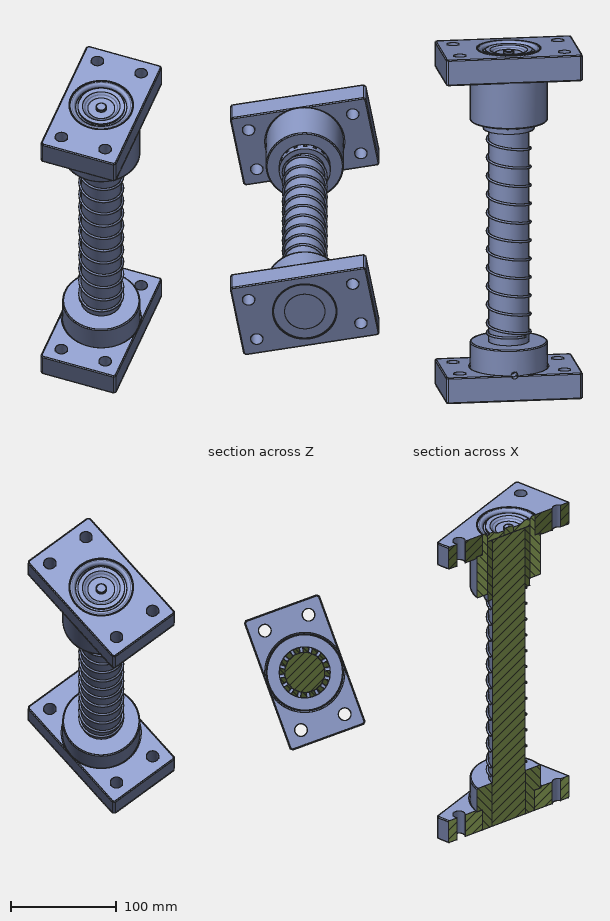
import cadquery as cq
import math

total_height = 335.0
plate_angle = 20.0
plate_long_axis = (-math.sin(math.radians(plate_angle)), math.cos(math.radians(plate_angle)), 0)

plate_width = 75.5
plate_length = 130.0
plate_thickness = 25.0
corner_chamfer = 2.0
edge_chamfer = 1.0
bolt_hole_diameter = 11.7
bolt_spacing_x = 44.0
bolt_spacing_y = 100.0

sleeve_radius = 36.5
spigot_radius = 29.5
spigot_bore_chamfer = 1.0
seat_depth = 1.7
seat_chamfer = 1.5
sleeve_end_chamfer = 1.0
bushing_bottom = 265.0
collar_top = 49.5
bushing_mouth_fillet = 3.7

post_radius = 19.0
cage_radius = 24.0
cage_bottom = 257.0
ball_count = 16
ball_hole_diameter = 3.0
ball_hole_drop = 2.0

cap_bottom = 325.0
cap_recess = 1.5
cap_top = total_height - cap_recess
cap_rim_radius = 22.0
cap_step = 1.7
cap_dish_radius = 17.8
cap_dish_depth = 0.5
cap_cone_radius = 15.5
cap_cone_depth = 2.0
cap_floor_radius = 12.7
cap_floor_depth = 3.5

peg_radius = 5.0
peg_chamfer = 0.7
peg_height = 2.5
peg_top = cap_top - cap_floor_depth + peg_height

wire_diameter = 2.0
wire_clearance = 0.17
spring_turns = 11
spring_active_bottom = 58.5
spring_active_top = cage_bottom - wire_diameter / 2 - wire_clearance
dead_coil_angle = 332.0
dead_coil_pitch = 1.7
coil_radius = post_radius + wire_diameter / 2 + wire_clearance

radial_hole_diameter = 6.5


def cylinder(radius, bottom, top):
    return cq.Workplane("XY").workplane(offset=bottom).circle(radius).extrude(top - bottom)


def revolve_profile(points):
    """Solid of revolution about Z from (radius, height) points."""
    return cq.Workplane("XZ").polyline(points).close().revolve(360, (0, 0), (0, 1))


def make_plate():
    """Plate with its outer face on Z = 0 and the sleeve seat in its upper face."""
    plate = (
        cq.Workplane("XY")
        .rect(plate_width, plate_length)
        .extrude(plate_thickness)
        .edges("|Z")
        .chamfer(corner_chamfer)
        .faces("<Z or >Z")
        .chamfer(edge_chamfer)
    )
    bolt_holes = (
        cq.Workplane("XY")
        .rect(bolt_spacing_x, bolt_spacing_y, forConstruction=True)
        .vertices()
        .circle(bolt_hole_diameter / 2)
        .extrude(plate_thickness)
    )
    seat_floor = plate_thickness - seat_depth
    sleeve_opening = revolve_profile([
        (0, 0),
        (spigot_radius + spigot_bore_chamfer, 0),
        (spigot_radius, spigot_bore_chamfer),
        (spigot_radius, seat_floor),
        (sleeve_radius, seat_floor),
        (sleeve_radius + seat_chamfer, plate_thickness),
        (0, plate_thickness),
    ])
    return plate.cut(bolt_holes).cut(sleeve_opening).rotate((0, 0, 0), (0, 0, 1), plate_angle)


def make_sleeve(length, bore_radius):
    """Sleeve whose spigot starts on Z = 0 and whose wide part stands on the plate seat."""
    shoulder = plate_thickness - seat_depth
    barrel = cylinder(sleeve_radius, shoulder, length).faces(">Z").chamfer(sleeve_end_chamfer)
    spigot = cylinder(spigot_radius, 0, shoulder)
    return barrel.union(spigot).cut(cylinder(bore_radius, 0, length))


def turn_over(body):
    """Place a body built up from Z = 0 so that it hangs down from the top of the set."""
    turned = body.rotate((0, 0, 0), plate_long_axis, 180)
    return turned.translate((0, 0, total_height))


def make_radial_hole():
    """Blind hole from the long side of the base plate in to the post."""
    hole_start = cq.Plane(origin=(-plate_width, 0, plate_thickness), xDir=(0, 0, 1), normal=(1, 0, 0))
    return (
        cq.Workplane(hole_start)
        .circle(radial_hole_diameter / 2)
        .extrude(plate_width)
        .cut(cylinder(post_radius, 0, collar_top))
        .rotate((0, 0, 0), (0, 0, 1), plate_angle)
    )


def make_bushing():
    bushing = make_sleeve(total_height - bushing_bottom, cage_radius)
    mouth = cq.selectors.RadiusNthSelector(0)
    return turn_over(bushing.faces("<Z").edges(mouth).fillet(bushing_mouth_fillet))


def make_cage():
    cage = cylinder(cage_radius, cage_bottom, cap_bottom).cut(cylinder(post_radius, cage_bottom, cap_bottom))
    ball_hole = (
        cq.Workplane("YZ")
        .center(0, bushing_bottom - ball_hole_drop)
        .circle(ball_hole_diameter / 2)
        .extrude(sleeve_radius)
        .cut(cylinder(post_radius, cage_bottom, cap_bottom))
    )
    step = 360 / ball_count
    for index in range(ball_count):
        cage = cage.cut(ball_hole.rotate((0, 0, 0), (0, 0, 1), plate_angle + (index + 0.5) * step))
    return cage


def make_cap():
    """Dished disc with two cones running down to a flat floor round the peg."""
    return revolve_profile([
        (peg_radius, cap_bottom),
        (cage_radius, cap_bottom),
        (cage_radius, cap_top - cap_step),
        (cap_rim_radius, cap_top - cap_step),
        (cap_rim_radius, cap_top),
        (cap_dish_radius, cap_top - cap_dish_depth),
        (cap_cone_radius, cap_top - cap_cone_depth),
        (cap_floor_radius, cap_top - cap_floor_depth),
        (peg_radius, cap_top - cap_floor_depth),
    ])


def make_peg():
    return cylinder(peg_radius, cap_bottom, peg_top).faces(">Z").chamfer(peg_chamfer)


def make_coil(pitch, turns, bottom, start_angle):
    """Left-handed coil of round wire that climbs from the bottom at the start angle."""
    helix = cq.Wire.makeHelix(pitch, pitch * turns, coil_radius, lefthand=True)
    coil = (
        cq.Workplane("XZ")
        .center(coil_radius, 0)
        .circle(wire_diameter / 2)
        .sweep(cq.Workplane(helix), isFrenet=True)
    )
    return coil.rotate((0, 0, 0), (0, 0, 1), start_angle).translate((0, 0, bottom))


def make_spring():
    """Open coils that run into one closed coil at the lower end."""
    join_angle = -90
    pitch = (spring_active_top - spring_active_bottom) / spring_turns
    dead_turns = dead_coil_angle / 360
    dead_bottom = spring_active_bottom - dead_coil_pitch * dead_turns
    active = make_coil(pitch, spring_turns, spring_active_bottom, join_angle)
    dead = make_coil(dead_coil_pitch, dead_turns, dead_bottom, join_angle + dead_coil_angle)
    return active.union(dead)


radial_hole = make_radial_hole()
base_plate = make_plate().cut(radial_hole)
collar = make_sleeve(collar_top, post_radius).cut(radial_hole)
top_plate = turn_over(make_plate())
bushing = make_bushing()
post = cylinder(post_radius, 0, cap_bottom)
cage = make_cage()
cap = make_cap()
peg = make_peg()
spring = make_spring()

bodies = [base_plate, collar, top_plate, bushing, post, cage, cap, peg, spring]
result = cq.Compound.makeCompound([body.solids().val() for body in bodies])